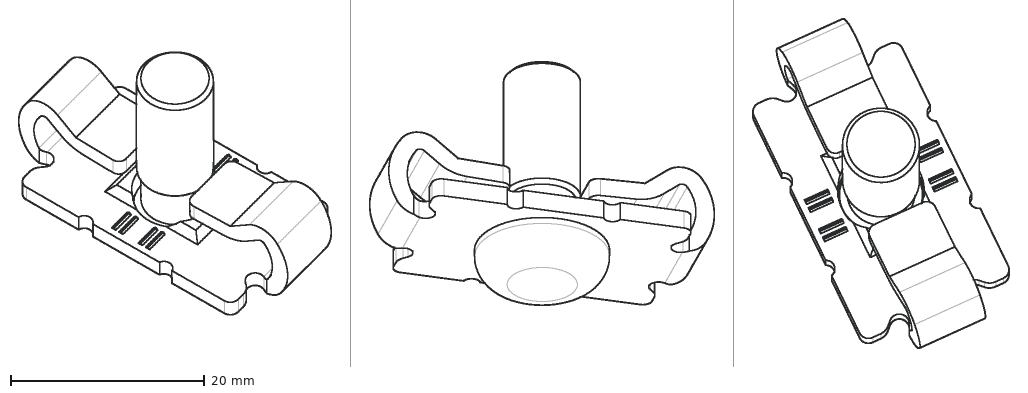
import cadquery as cq
import math

sheet = 2.0
plate_half_x = 13.9
plate_half_y = 8.5
plate_corner_r = 1.0
waist_half_y = 8.35
edge_notch_x = 5.18
edge_notch_y = 8.7
edge_notch_r = 0.9

pad_top_half_x = 5.15
pad_top_half_y = 3.2
pad_height = 0.87
hole_r = 4.48

rib_height = 0.2
rib_top_width = 0.1
rib_inner_y = 4.97
rib_outer_y = 7.6
rib_offsets_x = (1.25, 2.2)

arm_half_width = 3.75
arm_reach = 17.5
side_r = 6.75
crown_r = 2.6
heel_r = 2.9
crown_x = 14.05
crown_z = 7.3
ramp_angle = math.radians(38.5)
leg_angle = math.radians(2)
elbow_x = 10.05
elbow_fillet_r = 5.0
tip_x = 4.27
tip_corner_r = 0.98
arm_root_x = 12.6

lobe_r = 1.5
lobe_end_y = 6.58
relief_r = 1.0
relief_x = 13.7
relief_ramp_angle = math.radians(26)
relief_height = 3.15

bolt_top = 20.35
head_height = 4.02
head_r = 7.0
head_round_r = 3.35
shank_r = 4.0
shank_bottom = 6.35
neck_r = 3.55
tip_chamfer = 0.45
collar_r = 4.3
flare_top = 1.33


def polar(center, radius, angle):
    """Point on a circle, the angle measured from the first axis."""
    return (center[0] + radius * math.cos(angle), center[1] + radius * math.sin(angle))


def mirrored_four_ways(shape):
    """A shape and its mirror images in the XZ and YZ planes."""
    pair = shape.union(shape.mirror("XZ"))
    return pair.union(pair.mirror("YZ"))


def make_plate():
    plate = (
        cq.Workplane("XY")
        .rect(2 * plate_half_x, 2 * plate_half_y)
        .extrude(sheet)
        .edges("|Z").fillet(plate_corner_r)
    )
    setback_depth = plate_half_y - waist_half_y
    setbacks = (
        cq.Workplane("XY")
        .pushPoints([(0, side * (waist_half_y + setback_depth / 2)) for side in (1, -1)])
        .rect(2 * edge_notch_x, setback_depth)
        .extrude(sheet)
    )
    notches = (
        cq.Workplane("XY")
        .rect(2 * edge_notch_x, 2 * edge_notch_y, forConstruction=True)
        .vertices().circle(edge_notch_r)
        .extrude(sheet)
    )
    return plate.cut(setbacks).cut(notches)


def make_arm():
    """Spring arm at the +X end."""
    crown = (crown_x, crown_z)
    side_x = arm_reach - side_r
    crown_to_side = math.acos((crown_x - side_x) / (side_r - crown_r))
    side = (side_x, crown_z - (side_r - crown_r) * math.sin(crown_to_side))
    heel_to_side = math.asin((heel_r - side[1]) / (side_r - heel_r))
    heel = (side_x + (side_r - heel_r) * math.cos(heel_to_side), heel_r)

    down = math.radians(-90)
    ramp_normal = math.radians(90) + ramp_angle
    ramp_start = polar(crown, crown_r, ramp_normal)
    elbow = (elbow_x, ramp_start[1] - (ramp_start[0] - elbow_x) * math.tan(ramp_angle))
    tip_z = elbow[1] - (elbow_x - tip_x) * math.tan(leg_angle)
    elbow_miter = sheet / math.cos((ramp_angle - leg_angle) / 2)
    under_elbow = polar(elbow, elbow_miter, down + (ramp_angle + leg_angle) / 2)

    def arc_pairs(inset):
        """Middle and end points of the heel, side and crown arcs, going up."""
        return (
            (polar(heel, heel_r - inset, (down + heel_to_side) / 2),
             polar(heel, heel_r - inset, heel_to_side)),
            (polar(side, side_r - inset, 0),
             polar(side, side_r - inset, crown_to_side)),
            (polar(crown, crown_r - inset, (crown_to_side + ramp_normal) / 2),
             polar(crown, crown_r - inset, ramp_normal)),
        )

    outline = cq.Workplane("XZ").moveTo(arm_root_x, 0).lineTo(heel[0], 0)
    for middle, end in arc_pairs(0):
        outline = outline.threePointArc(middle, end)
    outline = (
        outline.lineTo(*elbow)
        .lineTo(tip_x, tip_z)
        .lineTo(tip_x, tip_z - sheet / math.cos(leg_angle))
        .lineTo(*under_elbow)
    )
    heel_arc, side_arc, crown_arc = arc_pairs(sheet)
    outline = (
        outline.lineTo(*crown_arc[1])
        .threePointArc(crown_arc[0], side_arc[1])
        .threePointArc(side_arc[0], heel_arc[1])
        .threePointArc(heel_arc[0], (heel[0], sheet))
        .lineTo(arm_root_x, sheet)
        .close()
    )
    arm = outline.extrude(arm_half_width, both=True)
    under_elbow_edge = cq.selectors.NearestToPointSelector((under_elbow[0], 0, under_elbow[1]))
    arm = arm.edges("|Y").edges(under_elbow_edge).fillet(elbow_fillet_r)
    return arm.faces("<X").edges("not |Y").fillet(tip_corner_r)


def make_relief():
    """Cut between the +X arm and the plate lobe on its +Y side."""
    diagonal = math.radians(45)
    lobe = (plate_half_x - lobe_r, lobe_end_y)
    lobe_exit = polar(lobe, lobe_r, -diagonal)
    relief_y = relief_x - (lobe[0] - lobe[1]) - (lobe_r + relief_r) / math.cos(diagonal)
    relief = (relief_x, relief_y)
    flank_end = polar(relief, relief_r, math.radians(90) + diagonal)
    ramp_start = polar(relief, relief_r, math.radians(-90) + relief_ramp_angle)
    ramp_end_x = ramp_start[0] + (arm_half_width - ramp_start[1]) / math.tan(relief_ramp_angle)
    return (
        cq.Workplane("XY")
        .moveTo(plate_half_x, lobe_end_y)
        .threePointArc(polar(lobe, lobe_r, -diagonal / 2), lobe_exit)
        .lineTo(*flank_end)
        .threePointArc(polar(relief, relief_r, math.radians(180)), ramp_start)
        .lineTo(ramp_end_x, arm_half_width)
        .lineTo(ramp_end_x, lobe_end_y)
        .close()
        .extrude(relief_height)
    )


def make_pad():
    return (
        cq.Workplane("XY", origin=(0, 0, sheet))
        .rect(2 * (pad_top_half_x + pad_height), 2 * (pad_top_half_y + pad_height))
        .extrude(pad_height, taper=45)
    )


def make_rib(x):
    half_top = rib_top_width / 2
    half_base = half_top + rib_height
    return (
        cq.Workplane("XZ", origin=(x, rib_outer_y, sheet))
        .polyline([(-half_base, 0), (half_base, 0), (half_top, rib_height), (-half_top, rib_height)])
        .close()
        .extrude(rib_outer_y - rib_inner_y)
    )


def make_clip():
    arm = make_arm()
    clip = make_plate().union(arm).union(arm.mirror("YZ")).union(make_pad())
    clip = clip.cut(mirrored_four_ways(make_relief()))
    for x in rib_offsets_x:
        clip = clip.union(mirrored_four_ways(make_rib(x)))
    hole = cq.Workplane("XY").circle(hole_r).extrude(sheet + pad_height)
    return clip.cut(hole)


def make_bolt():
    """Bolt with a rounded head below the plate, turned about the Z axis."""
    head_round = (head_r - head_round_r, head_round_r - head_height)
    return (
        cq.Workplane("XZ")
        .moveTo(0, -head_height)
        .lineTo(head_round[0], -head_height)
        .threePointArc(polar(head_round, head_round_r, math.radians(-45)), (head_r, head_round[1]))
        .lineTo(head_r, 0)
        .lineTo(collar_r, 0)
        .lineTo(collar_r, flare_top - (collar_r - neck_r))
        .lineTo(neck_r, flare_top)
        .lineTo(neck_r, shank_bottom - (shank_r - neck_r))
        .lineTo(shank_r, shank_bottom)
        .lineTo(shank_r, bolt_top - tip_chamfer)
        .lineTo(shank_r - tip_chamfer, bolt_top)
        .lineTo(0, bolt_top)
        .close()
        .revolve(360, (0, 0, 0), (0, 1, 0))
    )


clip = make_clip()
bolt = make_bolt()
result = cq.Compound.makeCompound([clip.solids().val(), bolt.solids().val()])